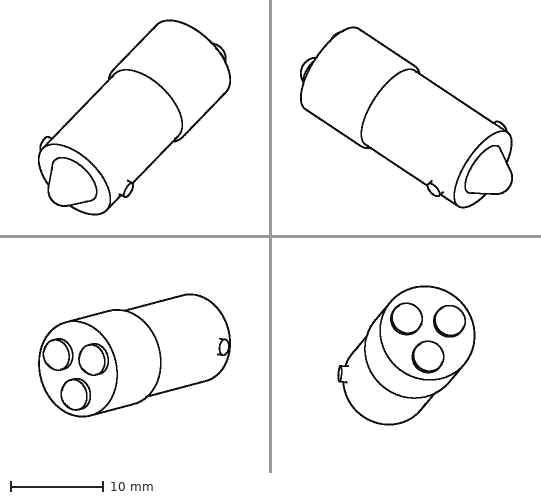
import cadquery as cq
import math

total_length = 26.95
tip_y = -total_length / 2

tip_cap_height = 1.1
tip_cap_radius = 1.65
cone_length = 2.5
cone_base_radius = 3.0

sleeve_radius = 4.83
sleeve_length = 13.2
collar_radius = 10.5 / 2
collar_edge_fillet = 0.27

led_count = 3
led_radius = 1.67
led_height = 1.9
led_cap_height = 1.25
led_circle_radius = 2.75
first_led_angle = 30.0

pin_radius = 0.85
pin_span = 11.27
pin_root_fillet = 0.25
pin_from_sleeve_end = 2.25

cone_small_y = tip_y + tip_cap_height
sleeve_start_y = cone_small_y + cone_length
collar_start_y = sleeve_start_y + sleeve_length
led_top_y = total_length / 2
collar_end_y = led_top_y - led_height
pin_y = sleeve_start_y + pin_from_sleeve_end


def cap_midpoint(rim_radius, height):
    """Radius and height above the rim of a point halfway along a spherical cap's profile."""
    sphere_radius = (rim_radius ** 2 + height ** 2) / (2 * height)
    half_angle = math.asin(rim_radius / sphere_radius) / 2
    radius = sphere_radius * math.sin(half_angle)
    rise = height - sphere_radius * (1 - math.cos(half_angle))
    return radius, rise


def make_sleeve():
    """Sleeve with both bayonet pins, blended at their roots."""
    sleeve = cq.Workplane("XZ", origin=(0, sleeve_start_y, 0)).circle(sleeve_radius).extrude(-sleeve_length)
    pins = cq.Workplane("YZ").center(pin_y, 0).circle(pin_radius).extrude(pin_span / 2, both=True)
    root_zone_depth = 0.27
    root_center_x = math.sqrt(sleeve_radius ** 2 - pin_radius ** 2 / 2)
    selector_half_size = pin_radius + root_zone_depth
    body = sleeve.union(pins)
    for side in (-1, 1):
        near_corner = (side * root_center_x - root_zone_depth, pin_y - selector_half_size, -selector_half_size)
        far_corner = (side * root_center_x + root_zone_depth, pin_y + selector_half_size, selector_half_size)
        roots = cq.selectors.BoxSelector(near_corner, far_corner)
        body = body.edges(roots).edges("not %LINE").fillet(pin_root_fillet)
    return body


def make_collar():
    collar_length = collar_end_y - collar_start_y
    collar = cq.Workplane("XZ", origin=(0, collar_start_y, 0)).circle(collar_radius).extrude(-collar_length)
    return collar.faces("<Y").edges().fillet(collar_edge_fillet)


def make_tip():
    mid_radius, mid_rise = cap_midpoint(tip_cap_radius, tip_cap_height)
    profile = (
        cq.Workplane("XY")
        .moveTo(0, sleeve_start_y)
        .lineTo(cone_base_radius, sleeve_start_y)
        .lineTo(tip_cap_radius, cone_small_y)
        .threePointArc((mid_radius, cone_small_y - mid_rise), (0, tip_y))
        .close()
    )
    return profile.revolve(360, (0, 0, 0), (0, 1, 0))


def make_led():
    """One LED standing on the collar end, centred on the Y axis."""
    cap_start_y = led_top_y - led_cap_height
    mid_radius, mid_rise = cap_midpoint(led_radius, led_cap_height)
    profile = (
        cq.Workplane("XY")
        .moveTo(0, collar_end_y)
        .lineTo(led_radius, collar_end_y)
        .lineTo(led_radius, cap_start_y)
        .threePointArc((mid_radius, cap_start_y + mid_rise), (0, led_top_y))
        .close()
    )
    return profile.revolve(360, (0, 0, 0), (0, 1, 0))


result = make_sleeve().union(make_collar()).union(make_tip())
for index in range(led_count):
    angle = math.radians(first_led_angle + index * 360 / led_count)
    led_x = led_circle_radius * math.cos(angle)
    led_z = led_circle_radius * math.sin(angle)
    result = result.union(make_led().translate((led_x, 0, led_z)))